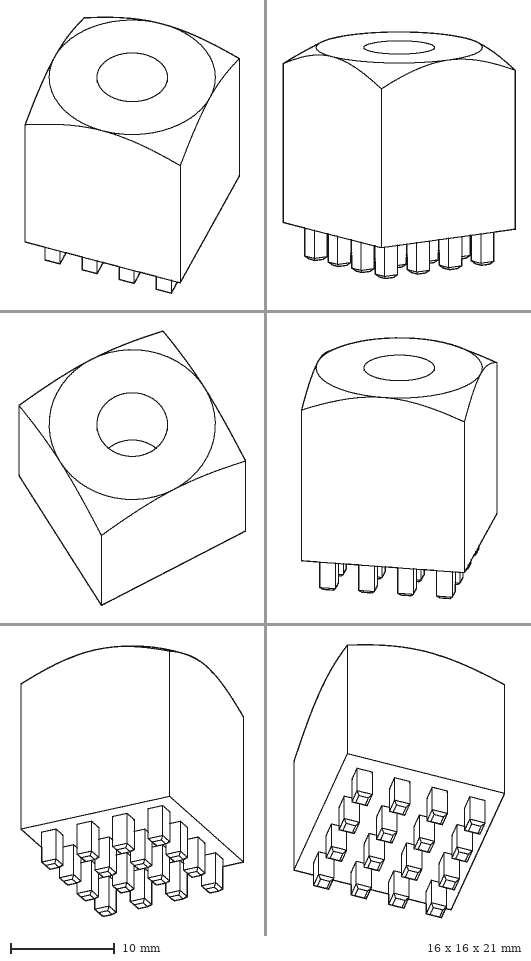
import cadquery as cq
import math

block_width = 16.0
total_height = 21.0
pin_length = 3.5
block_height = total_height - pin_length

relief_angle = 30.0

hole_diameter = 6.8
hole_depth = 10.5
drill_tip_angle = 118.0

pins_per_side = 4
pin_pitch = 3.82
pin_width = 1.55
pin_chamfer = 0.3


def make_block():
    """Square block whose four top corners are trimmed by a cone."""
    block = cq.Workplane("XY").box(
        block_width, block_width, block_height, centered=(True, True, False)
    )
    inner_radius = block_width / 2
    outer_radius = block_width
    cone_drop = (outer_radius - inner_radius) * math.tan(math.radians(relief_angle))
    envelope = (
        cq.Workplane("XZ")
        .moveTo(0, 0)
        .lineTo(outer_radius, 0)
        .lineTo(outer_radius, block_height - cone_drop)
        .lineTo(inner_radius, block_height)
        .lineTo(0, block_height)
        .close()
        .revolve(360, (0, 0, 0), (0, 1, 0))
    )
    return block.intersect(envelope)


def make_drilled_hole():
    """Cylinder with a pointed drill tip, entering from the top face."""
    radius = hole_diameter / 2
    shoulder_height = block_height - hole_depth
    tip_length = radius / math.tan(math.radians(drill_tip_angle / 2))
    return (
        cq.Workplane("XZ")
        .moveTo(0, block_height)
        .lineTo(radius, block_height)
        .lineTo(radius, shoulder_height)
        .lineTo(0, shoulder_height - tip_length)
        .close()
        .revolve(360, (0, 0, 0), (0, 1, 0))
    )


def make_pins():
    """Square grid of pins with chamfered ends."""
    return (
        cq.Workplane("XY")
        .rarray(pin_pitch, pin_pitch, pins_per_side, pins_per_side)
        .rect(pin_width, pin_width)
        .extrude(-pin_length)
        .faces("<Z")
        .chamfer(pin_chamfer)
    )


result = make_block().cut(make_drilled_hole()).union(make_pins())